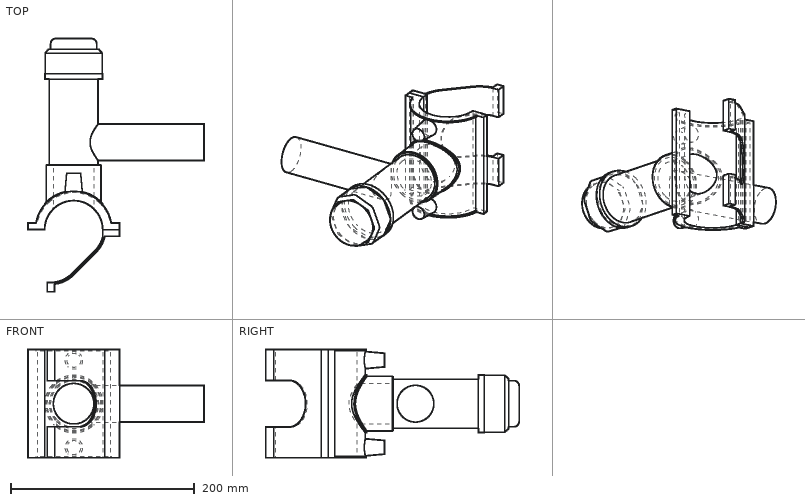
import cadquery as cq
import math


overall_length = 275.8

clamp_length = 118.0
bore_radius = 63.0 / 2
flange_half_width = 50.0
flange_thickness = 7.5

saddle_radius = 40.5
lip_radius = 41.6
lip_width = 1.7

collar_diameter = 59.8
collar_end = 70.5
collar_chamfer = 0.8
pad_diameter = 63.0
pad_crown_radius = 42.2
port_diameter = 44

barrel_diameter = 53.5
outlet_diameter = 40.0
outlet_gap = 4.5
outlet_axis_y = collar_end + outlet_gap + outlet_diameter / 2
outlet_end = 142.0

rim_diameter = 63.0
rim_start = 163.5
nut_start = 169.5
nut_end = 196.4
nut_sides = 8
nut_across_flats = 58.5
nut_corner_radius = 6.3
nut_chamfer_axial = 4.5
nut_chamfer_radial = 3.9
cap_diameter = 50.5
cap_end = 208.0
cap_fillet = 6.0

pin_tip_diameter = 15.2
pin_base_diameter = 19.3
pin_end = 61.5
pin_base = 38.5
pin_offset = 47.5

strap_inner_radius = 32.5
strap_outer_radius = 34.7
strap_bend_angle = 45
strap_bend_shift = 24.8
strap_end = overall_length - cap_end
tab_width = 8.3
slot_width = 50.5


def rod(diameter, start, end):
    """Solid cylinder on the barrel axis between two Y positions."""
    return cq.Workplane("XZ", origin=(0, start, 0)).circle(diameter / 2).extrude(start - end)


def clamp_block(x_min, x_max, y_min, y_max):
    """Box over the full clamp length between the given X and Y limits."""
    return (
        cq.Workplane("XY")
        .box(x_max - x_min, y_max - y_min, clamp_length, centered=(False, False, True))
        .translate((x_min, y_min, 0))
    )


def clamp_cylinder(radius, length=clamp_length):
    """Cylinder on the clamped pipe's axis, centred on Z = 0."""
    return cq.Workplane("XY", origin=(0, 0, -length / 2)).circle(radius).extrude(length)


def saddle_shell():
    """Half ring with raised end lips and two flanges, before the bore is cut."""
    upper_half = clamp_block(-flange_half_width, flange_half_width, 0, flange_half_width)
    ring = clamp_cylinder(saddle_radius).intersect(upper_half)
    lips = clamp_cylinder(lip_radius).cut(clamp_cylinder(lip_radius, clamp_length - 2 * lip_width))
    flanges = clamp_block(-flange_half_width, flange_half_width, 0, flange_thickness)
    return ring.union(lips.intersect(upper_half)).union(flanges)


def collar():
    """Socket for the barrel, standing on a slightly wider pad that follows the saddle."""
    socket = rod(collar_diameter, 0, collar_end).faces(">Y").chamfer(collar_chamfer)
    pad = rod(pad_diameter, 0, collar_end).intersect(clamp_cylinder(pad_crown_radius))
    return socket.union(pad)


def outlet():
    """Side pipe from the barrel axis toward +X."""
    return cq.Workplane("YZ").center(outlet_axis_y, 0).circle(outlet_diameter / 2).extrude(outlet_end)


def nut():
    """Octagonal nut with rounded corners, a chamfered outer end and a round rim."""
    body = (
        cq.Workplane("XZ", origin=(0, nut_start, 0))
        .polygon(nut_sides, nut_across_flats, circumscribed=True)
        .extrude(nut_start - nut_end)
        .rotate((0, 0, 0), (0, 1, 0), 180 / nut_sides)
        .edges("|Y")
        .fillet(nut_corner_radius)
        .faces(">Y")
        .chamfer(nut_chamfer_axial, nut_chamfer_radial)
    )
    return body.union(rod(rim_diameter, rim_start, nut_start))


def cap():
    """Round-edged end cap."""
    return rod(cap_diameter, nut_start, cap_end).faces(">Y").edges().fillet(cap_fillet)


def terminal_pin(z):
    """Tapered pin standing on the saddle at the given height."""
    return (
        cq.Workplane("XZ", origin=(0, pin_base, z))
        .circle(pin_base_diameter / 2)
        .workplane(offset=pin_base - pin_end)
        .circle(pin_tip_diameter / 2)
        .loft()
    )


def make_saddle():
    """Saddle with collar, barrel, outlet, nut, cap and pins as one solid."""
    saddle = saddle_shell().union(collar()).union(rod(barrel_diameter, 0, nut_start))
    saddle = saddle.union(outlet()).union(nut()).union(cap())
    for z in (-pin_offset, pin_offset):
        saddle = saddle.union(terminal_pin(z))
    return saddle.cut(clamp_cylinder(bore_radius)).cut(rod(port_diameter, 0, collar_end))


def strap_band():
    """Thin band that follows the bore, runs straight at the bend angle and curls to the tab."""
    bend = math.radians(strap_bend_angle)
    tab_bend_end = math.pi / 2
    tab_bend_middle = (bend + tab_bend_end) / 2

    def on_bore_bend(radius, angle):
        return radius * math.cos(angle), -radius * math.sin(angle)

    def on_tab_bend(radius, angle):
        x, y = on_bore_bend(radius, angle)
        return x - strap_bend_shift, y - strap_bend_shift

    inner = strap_inner_radius
    outer = strap_outer_radius
    return (
        cq.Workplane("XY", origin=(0, 0, -clamp_length / 2))
        .moveTo(*on_bore_bend(inner, 0))
        .threePointArc(on_bore_bend(inner, bend / 2), on_bore_bend(inner, bend))
        .lineTo(*on_tab_bend(inner, bend))
        .threePointArc(on_tab_bend(inner, tab_bend_middle), on_tab_bend(inner, tab_bend_end))
        .lineTo(*on_tab_bend(outer, tab_bend_end))
        .threePointArc(on_tab_bend(outer, tab_bend_middle), on_tab_bend(outer, bend))
        .lineTo(*on_bore_bend(outer, bend))
        .threePointArc(on_bore_bend(outer, bend / 2), on_bore_bend(outer, 0))
        .close()
        .extrude(clamp_length)
    )


def strap_slot():
    """Round-ended slot square to the straight run, open through the tab."""
    bend = math.radians(strap_bend_angle)
    normal = cq.Vector(math.cos(bend), -math.sin(bend), 0)
    along = cq.Vector(-math.sin(bend), -math.cos(bend), 0)
    round_centre = normal * strap_outer_radius + along * (slot_width / 2)
    slot_length = 2 * slot_width
    cut_depth = 2 * bore_radius
    plane = cq.Plane(origin=round_centre.toTuple(), xDir=along.toTuple(), normal=normal.toTuple())
    round_end = cq.Workplane(plane).circle(slot_width / 2).extrude(cut_depth / 2, both=True)
    straight = (
        cq.Workplane(plane)
        .center(slot_length / 2, 0)
        .rect(slot_length, slot_width)
        .extrude(cut_depth / 2, both=True)
    )
    return round_end.union(straight)


def make_strap():
    """Flexible strap with its flange, closing tab and slot as one solid."""
    flange = clamp_block(bore_radius, flange_half_width, -flange_thickness, 0)
    tab_centre = -strap_bend_shift
    tab_top = -strap_bend_shift - strap_inner_radius
    tab = clamp_block(tab_centre - tab_width / 2, tab_centre + tab_width / 2, -strap_end, tab_top)
    return strap_band().union(flange).union(tab).cut(strap_slot())


saddle = make_saddle()
strap = make_strap()
result = cq.Compound.makeCompound([saddle.val(), strap.val()])